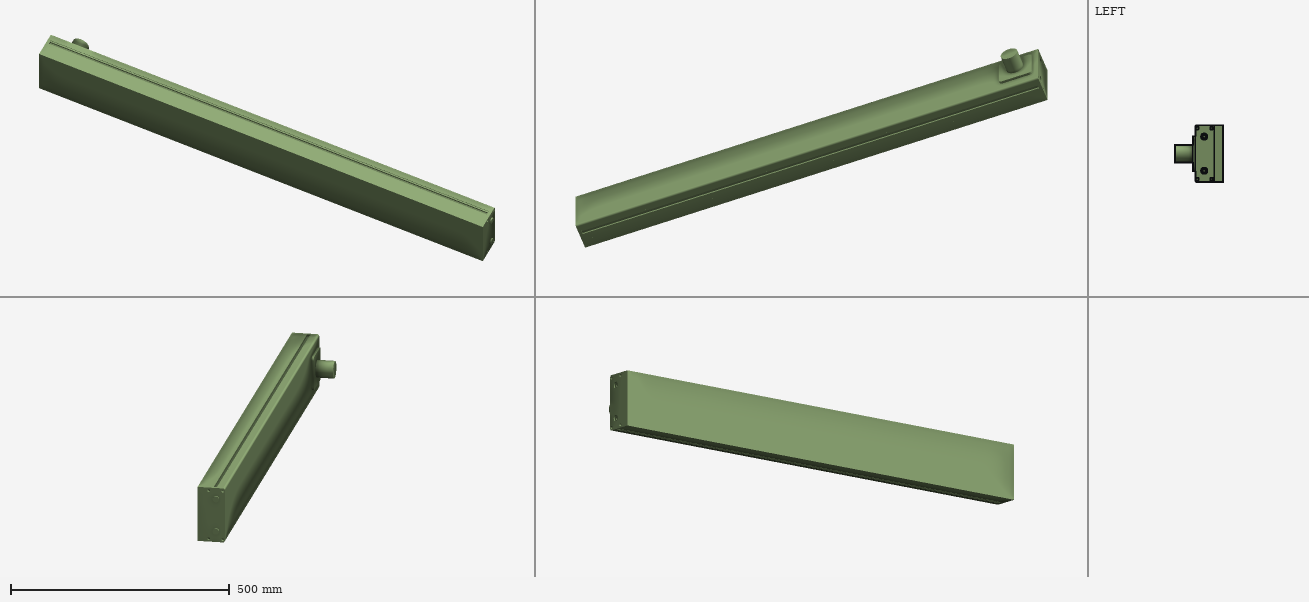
import cadquery as cq

height = 130.0
depth = 63.0
plug_height = 3.0
overall_length = 1132
length = overall_length - plug_height

front_depth = 20.0

cap_thickness = 7.4
back_depth = depth - front_depth
profile_length = length - 2 * cap_thickness
edge_round = 5.0

ledge_from_back = 17.0
slot_from_back = 20.0
groove_end_from_back = 27.0
ledge_depth = 1.0
slot_depth = 5.0

hole_diameter = 7.0
back_hole_from_back = 5.0
front_hole_from_back = 37.0
hole_from_edge = 7.0

plug_diameter = 15.0
plug_from_back = 20.0
plug_spacing = 78.0
bore_diameter = 8.0
counterbore_depth = 3.0

spigot_from_left = 53.0
flange_side = 80.0
flange_corner_radius = 8.0
flange_thickness = 6.0
spigot_diameter = 41.0
overall_depth = 110.0
spigot_length = overall_depth - depth - flange_thickness

back_y = depth
left_x = -length / 2

plug_points = [(back_y - plug_from_back, side * plug_spacing / 2) for side in (-1, 1)]


def bar(start_x, bar_length, start_y, bar_depth):
    """Full-height rectangular bar along X."""
    return cq.Workplane("XY").box(bar_length, bar_depth, height, centered=(False, False, True)).translate(
        (start_x, start_y, 0)
    )


def rounded_bar(start_x, bar_length):
    """Bar behind the front bar, with its two long back edges rounded."""
    return bar(start_x, bar_length, front_depth, back_depth).edges("|X and >Y").fillet(edge_round)


def rods(start_x, rod_length, diameter, points):
    """Cylinders along +X at the given (Y, Z) points."""
    return cq.Workplane("YZ", origin=(start_x, 0, 0)).pushPoints(points).circle(diameter / 2).extrude(rod_length)


def make_profile():
    profile = rounded_bar(left_x + cap_thickness, profile_length)
    for side in (-1, 1):
        for from_back, groove_depth in ((ledge_from_back, ledge_depth), (slot_from_back, slot_depth)):
            groove_width = groove_end_from_back - from_back
            centre_y = back_y - (from_back + groove_end_from_back) / 2
            groove = cq.Workplane("XY").box(profile_length, groove_width, 2 * groove_depth)
            profile = profile.cut(groove.translate((0, centre_y, side * height / 2)))
    return profile


def make_cap(start_x):
    """Plain end cap with its four fixing holes."""
    hole_z = height / 2 - hole_from_edge
    cap = rounded_bar(start_x, cap_thickness)
    for from_back in (back_hole_from_back, front_hole_from_back):
        points = [(back_y - from_back, side * hole_z) for side in (-1, 1)]
        cap = cap.cut(rods(start_x, cap_thickness, hole_diameter, points))
    return cap


def make_left_cap():
    cap = make_cap(left_x)
    cap = cap.cut(rods(left_x, counterbore_depth, plug_diameter, plug_points))
    return cap.cut(rods(left_x, cap_thickness, bore_diameter, plug_points))


def make_right_cap():
    start_x = left_x + length - cap_thickness
    plugs = rods(start_x, cap_thickness + plug_height, plug_diameter, plug_points)
    return make_cap(start_x).union(plugs)


def make_spigot():
    plane = cq.Workplane("XZ", origin=(left_x + spigot_from_left, back_y, 0))
    flange = plane.rect(flange_side, flange_side).extrude(-flange_thickness)
    flange = flange.edges("|Y").fillet(flange_corner_radius)
    shaft = plane.circle(spigot_diameter / 2).extrude(-(flange_thickness + spigot_length))
    return flange.union(shaft)


front_bar = bar(left_x, length, 0, front_depth)
profile = make_profile()
left_cap = make_left_cap()
right_cap = make_right_cap()
spigot = make_spigot()

result = cq.Compound.makeCompound(
    [front_bar.val(), profile.val(), left_cap.val(), right_cap.val(), spigot.val()]
)